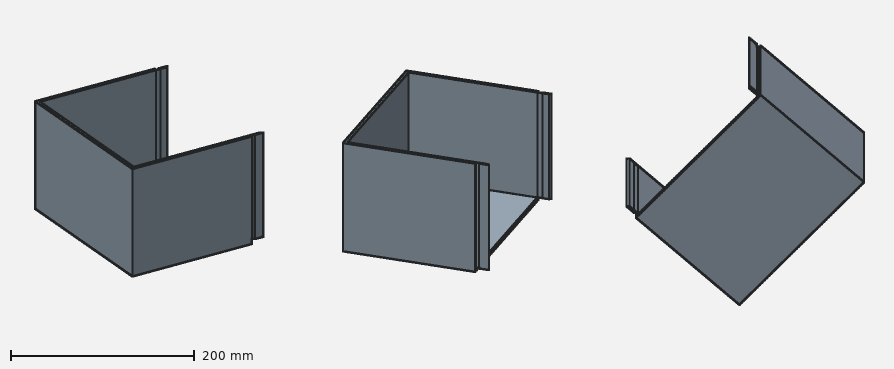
import cadquery as cq

width = 200.0
box_depth = 153.5
height = 130.0
wall = 4.0

strip_length = 15.8
strip_thickness = 1.0
hook_projection = 1.5
hook_start = 4.5
hook_slant = 1.5

inner_x = width / 2 - wall
strip_outer_x = inner_x + strip_thickness
hook_outer_x = strip_outer_x + hook_projection
tip_slant = hook_slant * (hook_projection + strip_thickness) / hook_projection
strip_end_y = box_depth + strip_length


def make_box():
    """Box with its outer front face on the XZ plane."""
    outer = cq.Workplane("XY").box(width, box_depth, height, centered=(True, False, False))
    cavity = (
        cq.Workplane("XY")
        .box(2 * inner_x, box_depth, height, centered=(True, False, False))
        .translate((0, wall, wall))
    )
    return outer.cut(cavity)


def make_snap_strip():
    """Right-hand strip with an outward hook, starting above the floor."""
    hook_base_y = box_depth + hook_start
    return (
        cq.Workplane("XY", origin=(0, 0, wall))
        .moveTo(inner_x, box_depth)
        .lineTo(strip_outer_x, box_depth)
        .lineTo(strip_outer_x, hook_base_y + hook_slant)
        .lineTo(hook_outer_x, hook_base_y)
        .lineTo(hook_outer_x, strip_end_y)
        .lineTo(inner_x, strip_end_y - tip_slant)
        .close()
        .extrude(height - wall)
    )


right_strip = make_snap_strip()
left_strip = right_strip.mirror("YZ")
result = make_box().union(right_strip).union(left_strip)